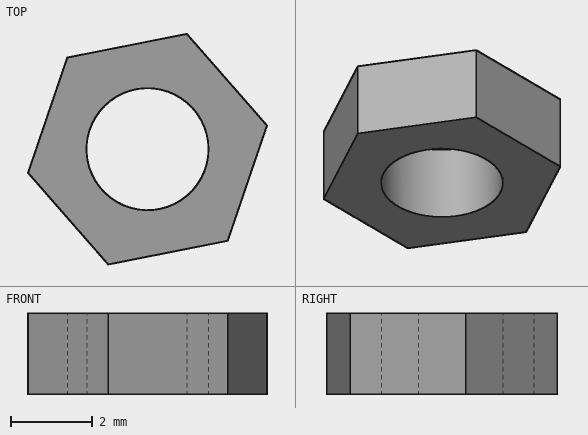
import cadquery as cq
import math

across_flats = 5.2
thickness = 2.0
bore_diameter = 3.0
corner_angle = 11.2

side_count = 6
across_corners = across_flats / math.cos(math.pi / side_count)


def hexagonal_body():
    """Plain hexagonal prism standing on the XY plane, turned about Z."""
    prism = cq.Workplane("XY").polygon(side_count, across_corners).extrude(thickness)
    return prism.rotate((0, 0, 0), (0, 0, 1), corner_angle)


def cut_bore(body):
    """Round hole through the full thickness, on the axis of the nut."""
    bore = cq.Workplane("XY").circle(bore_diameter / 2).extrude(thickness)
    return body.cut(bore)


result = cut_bore(hexagonal_body())